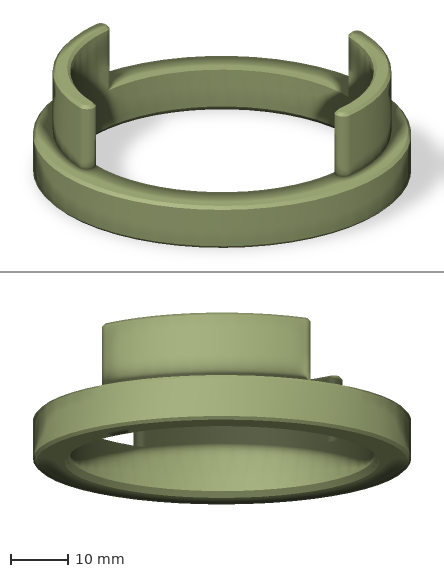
import cadquery as cq
import math

ring_diameter = 66.0
bore_diameter = 53.0
ring_height = 8.0
ring_chamfer = 0.5
bore_chamfer = 1.0

total_height = 20.0
wall_thickness = 3.05
wall_start_angle = 10.0
wall_end_angle = 90.0
wall_count = 2
wall_chamfer = 0.5

bore_radius = bore_diameter / 2
wall_outer_radius = bore_radius + wall_thickness
wall_middle_radius = bore_radius + wall_thickness / 2
wall_height = total_height - ring_height

end_angle = math.degrees(math.asin(wall_thickness / 2 / wall_middle_radius))


def polar_point(radius, angle):
    """Point at a radius and an angle in degrees, counted from +X."""
    radians = math.radians(angle)
    return (radius * math.cos(radians), radius * math.sin(radians))


def make_ring():
    """Flat ring with chamfered outer rims and a larger chamfer on the lower bore rim."""
    ring = cq.Workplane("XY").circle(ring_diameter / 2).extrude(ring_height)
    ring = ring.faces("<Z or >Z").edges().chamfer(ring_chamfer)
    ring = ring.cut(cq.Workplane("XY").circle(bore_radius).extrude(ring_height))
    bore_rim = cq.selectors.RadiusNthSelector(0)
    return ring.faces("<Z").edges(bore_rim).chamfer(bore_chamfer)


def make_wall():
    """Curved wall with fully rounded ends and a chamfered top edge."""
    first_center = wall_start_angle + end_angle
    last_center = wall_end_angle - end_angle
    middle_angle = (first_center + last_center) / 2
    wall = (
        cq.Workplane("XY", origin=(0, 0, ring_height))
        .moveTo(*polar_point(wall_outer_radius, first_center))
        .threePointArc(
            polar_point(wall_outer_radius, middle_angle),
            polar_point(wall_outer_radius, last_center),
        )
        .tangentArcPoint(polar_point(bore_radius, last_center), relative=False)
        .threePointArc(
            polar_point(bore_radius, middle_angle),
            polar_point(bore_radius, first_center),
        )
        .tangentArcPoint(polar_point(wall_outer_radius, first_center), relative=False)
        .close()
        .extrude(wall_height)
    )
    return wall.faces(">Z").edges().chamfer(wall_chamfer)


result = make_ring()
wall = make_wall()
for index in range(wall_count):
    turn = index * 360 / wall_count
    result = result.union(wall.rotate((0, 0, 0), (0, 0, 1), turn), clean=False)